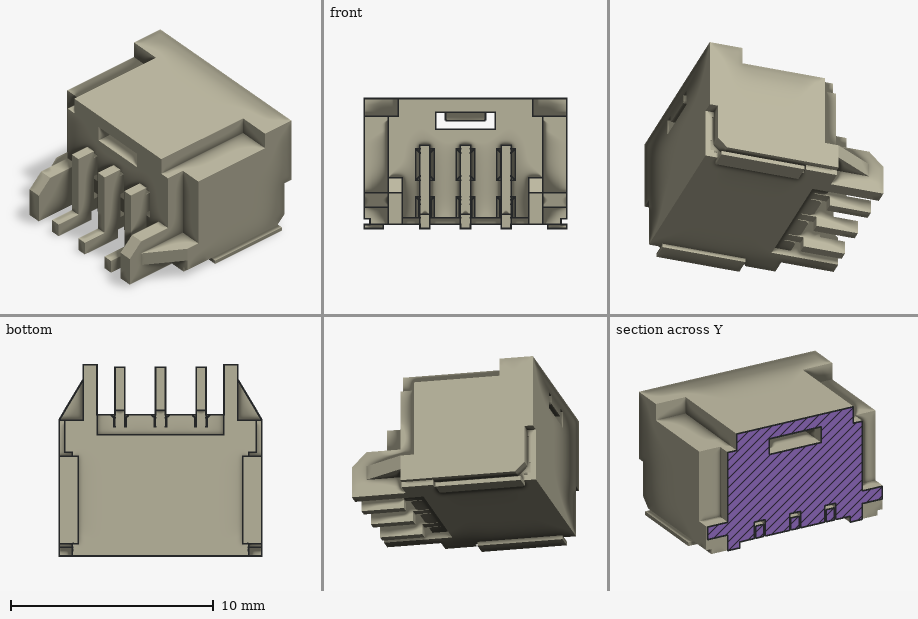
import cadquery as cq


WIDTH = 10
HALF_WIDTH = WIDTH / 2
HOUSING_LENGTH = 6.98
TOP_Z = 6.42
BOTTOM_Z = 0.2

TOP_NOTCH_WIDTH = 1.68
TOP_NOTCH_LENGTH = 5.28
TOP_NOTCH_DEPTH = 0.89

CORNER_STEP_WIDTH = 1.18
CORNER_STEP_LENGTH = 0.97
SHOULDER_Z = 1.76
SHOULDER_Y = 0.27

REAR_RELIEF_DEPTH = 0.29
FRONT_RELIEF_DEPTH = 0.65
FRONT_RELIEF_REAR_Y = 1.86
SKIN_FRONT_Y = HOUSING_LENGTH - 0.43
SKIN_BOTTOM_Z = 0.47
SKIN_FRONT_TOP_Z = 2.8
SKIN_CHAMFER_Y = 0.48
SKIN_CHAMFER_Z = 0.46

EAR_WIDTH = 0.7
EAR_OUTER_X = HALF_WIDTH - CORNER_STEP_WIDTH
EAR_INNER_X = EAR_OUTER_X - EAR_WIDTH
EAR_LENGTH = 2.46
EAR_TOP_Z = 2.5
EAR_CHAMFER_Y = 0.74
EAR_CHAMFER_Z = EAR_TOP_Z - SHOULDER_Z
GUSSET_BOTTOM_Z = 1.05
GUSSET_END_Y = EAR_CHAMFER_Y - EAR_LENGTH

UNDERSIDE_Z = 0.52
UNDERSIDE_RELIEF_LENGTH = 1.0

WINDOW_WIDTH = 2.92
WINDOW_BOTTOM_Z = 4.9
WINDOW_TOP_Z = 5.72
LATCH_WIDTH = 1.98
LATCH_BOTTOM_Z = 5.3
LATCH_LENGTH = 0.8
LATCH_UNDERCUT = 0.08
LATCH_CHAMFER = 0.07

FOOT_WIDTH = 0.95
FOOT_FRONT_Y = 6.36
FOOT_REAR_Y = 2.05
SEAT_DEPTH = 0.05
SEAT_TOP_Z = 2.5
SEAT_STEP_Z = 1.13
SEAT_LUG_BOTTOM_Z = 0.59
SEAT_UPPER_Y = 6.64
SEAT_LUG_Y = 6.72
SEAT_BEVEL = 0.12

PIN_PITCH = 2.0
PIN_COUNT = 3
PIN_WIDTH = 0.5
PIN_TOP_Z = 4.1
PIN_OUTER_Y = -1.06
PIN_GAP = 0.05
PIN_TAIL_END_Y = -2.34
PIN_TAIL_HEIGHT = 0.71
PIN_TAIL_GAP = 0.2
UPPER_LEG_BOTTOM_Z = 2.6
UPPER_LEG_TOP_Z = 3.7
LOWER_LEG_TOP_Z = 1.2
LEG_DEPTH = 0.8

POCKET_WIDTH = 0.92
UPPER_POCKET_BOTTOM_Z = 2.37
UPPER_POCKET_TOP_Z = 3.94
UPPER_POCKET_TAPER = 0.2
LOWER_POCKET_TOP_Z = 1.57
LOWER_POCKET_TAPER = 0.16
LOWER_SLOT_DEPTH = 0.6


def block(x_range, y_range, z_range):
    """Box between the given pairs of limits."""
    sizes = [limits[1] - limits[0] for limits in (x_range, y_range, z_range)]
    corner = (x_range[0], y_range[0], z_range[0])
    return cq.Workplane("XY").box(*sizes, centered=False).translate(corner)


def side_prism(points, x_start, x_end):
    """Outline of (y, z) points extruded along X."""
    return cq.Workplane("YZ").workplane(offset=x_start).polyline(points).close().extrude(x_end - x_start)


def both_sides(shape):
    """The shape together with its mirror image across the mid plane."""
    return shape.union(shape.mirror("YZ"))


def side_cuts():
    """Material removed from the right-hand side of the housing."""
    top_notch = block(
        (HALF_WIDTH - TOP_NOTCH_WIDTH, HALF_WIDTH), (0, TOP_NOTCH_LENGTH), (TOP_Z - TOP_NOTCH_DEPTH, TOP_Z)
    )
    upper_step = block((EAR_OUTER_X, HALF_WIDTH), (0, CORNER_STEP_LENGTH), (SHOULDER_Z, TOP_Z))
    lower_step = block((EAR_OUTER_X, HALF_WIDTH), (0, SHOULDER_Y), (BOTTOM_Z, SHOULDER_Z))
    rear_relief = block(
        (HALF_WIDTH - REAR_RELIEF_DEPTH, HALF_WIDTH), (0, FRONT_RELIEF_REAR_Y), (BOTTOM_Z, SKIN_BOTTOM_Z)
    )
    front_outline = [
        (FRONT_RELIEF_REAR_Y, BOTTOM_Z),
        (HOUSING_LENGTH, BOTTOM_Z),
        (HOUSING_LENGTH, SKIN_FRONT_TOP_Z),
        (SKIN_FRONT_Y, SKIN_FRONT_TOP_Z),
        (SKIN_FRONT_Y, SKIN_BOTTOM_Z + SKIN_CHAMFER_Z),
        (SKIN_FRONT_Y - SKIN_CHAMFER_Y, SKIN_BOTTOM_Z),
        (FRONT_RELIEF_REAR_Y, SKIN_BOTTOM_Z),
    ]
    wall_x = HALF_WIDTH - FRONT_RELIEF_DEPTH
    front_relief = side_prism(front_outline, wall_x, HALF_WIDTH)
    seat_outline = [
        (FOOT_REAR_Y, BOTTOM_Z),
        (FOOT_FRONT_Y, BOTTOM_Z),
        (FOOT_FRONT_Y, SEAT_LUG_BOTTOM_Z),
        (SEAT_LUG_Y, SEAT_LUG_BOTTOM_Z),
        (SEAT_LUG_Y, SEAT_STEP_Z),
        (SEAT_UPPER_Y, SEAT_STEP_Z),
        (SEAT_UPPER_Y, SEAT_TOP_Z),
        (SKIN_FRONT_Y, SEAT_TOP_Z),
        (SKIN_FRONT_Y, SKIN_BOTTOM_Z + SKIN_CHAMFER_Z),
        (SKIN_FRONT_Y - SKIN_CHAMFER_Y, SKIN_BOTTOM_Z),
        (FOOT_REAR_Y, SKIN_BOTTOM_Z),
    ]
    seat = side_prism(seat_outline, wall_x - SEAT_DEPTH, wall_x)
    bevel = (
        cq.Workplane("XZ", origin=(0, SKIN_FRONT_Y, 0))
        .polyline(
            [
                (wall_x, SEAT_LUG_BOTTOM_Z),
                (wall_x, SEAT_LUG_BOTTOM_Z - SEAT_BEVEL),
                (wall_x - SEAT_BEVEL, SEAT_LUG_BOTTOM_Z - SEAT_BEVEL),
            ]
        )
        .close()
        .extrude(SKIN_FRONT_Y - FOOT_FRONT_Y)
    )
    cuts = top_notch
    for cut in (upper_step, lower_step, rear_relief, front_relief, seat, bevel):
        cuts = cuts.union(cut)
    return cuts


def ear():
    """Right-hand rear ear with a chamfered top corner and its triangular gusset."""
    outline = [
        (0, BOTTOM_Z),
        (-EAR_LENGTH, BOTTOM_Z),
        (-EAR_LENGTH, EAR_TOP_Z - EAR_CHAMFER_Z),
        (EAR_CHAMFER_Y - EAR_LENGTH, EAR_TOP_Z),
        (CORNER_STEP_LENGTH, EAR_TOP_Z),
        (CORNER_STEP_LENGTH, BOTTOM_Z),
    ]
    plate = side_prism(outline, EAR_INNER_X, EAR_OUTER_X)
    gusset = (
        cq.Workplane("XY")
        .workplane(offset=GUSSET_BOTTOM_Z)
        .polyline([(EAR_OUTER_X, SHOULDER_Y), (HALF_WIDTH, SHOULDER_Y), (EAR_OUTER_X, GUSSET_END_Y)])
        .close()
        .extrude(SHOULDER_Z - GUSSET_BOTTOM_Z)
    )
    return plate.union(gusset)


def foot():
    """Right-hand solder foot, flush with the outer side."""
    return block((HALF_WIDTH - FOOT_WIDTH, HALF_WIDTH), (FOOT_REAR_Y, FOOT_FRONT_Y), (0, BOTTOM_Z))


def latch():
    """Latch hanging from the window roof, with an undercut rear face and chamfered lower corners."""
    tip_y = HOUSING_LENGTH - LATCH_LENGTH
    outline = [
        (tip_y, LATCH_BOTTOM_Z),
        (HOUSING_LENGTH, LATCH_BOTTOM_Z),
        (HOUSING_LENGTH, WINDOW_TOP_Z),
        (tip_y + LATCH_UNDERCUT, WINDOW_TOP_Z),
    ]
    body = side_prism(outline, -LATCH_WIDTH / 2, LATCH_WIDTH / 2)
    return body.intersect(
        block((-LATCH_WIDTH / 2, LATCH_WIDTH / 2), (tip_y, HOUSING_LENGTH), (LATCH_BOTTOM_Z, WINDOW_TOP_Z))
        .edges("|Y and <Z")
        .chamfer(LATCH_CHAMFER)
    )


def pocket(bottom_z, top_z, bottom_taper, taper):
    """Pocket in the rear face, as deep as its taper; the bottom has a taper of its own."""
    inner_bottom_z = bottom_z + bottom_taper
    inner_top_z = top_z - taper
    inner_middle_z = (inner_bottom_z + inner_top_z) / 2
    outer_middle_z = (bottom_z + top_z) / 2
    return (
        cq.Workplane("XZ")
        .center(0, outer_middle_z)
        .rect(POCKET_WIDTH, top_z - bottom_z)
        .workplane(offset=-taper)
        .center(0, inner_middle_z - outer_middle_z)
        .rect(POCKET_WIDTH - 2 * taper, inner_top_z - inner_bottom_z)
        .loft(ruled=True)
    )


def pin():
    """Bent contact: upright bar, tail on the board and two legs anchored in the housing."""
    outline = [
        (-PIN_GAP, PIN_TOP_Z),
        (PIN_OUTER_Y, PIN_TOP_Z),
        (PIN_OUTER_Y, PIN_TAIL_HEIGHT),
        (PIN_TAIL_END_Y, PIN_TAIL_HEIGHT),
        (PIN_TAIL_END_Y, 0),
        (-PIN_TAIL_GAP, 0),
        (-PIN_TAIL_GAP, UNDERSIDE_Z),
        (LEG_DEPTH, UNDERSIDE_Z),
        (LEG_DEPTH, LOWER_LEG_TOP_Z),
        (-PIN_GAP, LOWER_LEG_TOP_Z),
        (-PIN_GAP, UPPER_LEG_BOTTOM_Z),
        (LEG_DEPTH, UPPER_LEG_BOTTOM_Z),
        (LEG_DEPTH, UPPER_LEG_TOP_Z),
        (-PIN_GAP, UPPER_LEG_TOP_Z),
    ]
    return side_prism(outline, -PIN_WIDTH / 2, PIN_WIDTH / 2)


result = block((-HALF_WIDTH, HALF_WIDTH), (0, HOUSING_LENGTH), (BOTTOM_Z, TOP_Z))
result = result.cut(both_sides(side_cuts()))
result = result.cut(
    block((-WINDOW_WIDTH / 2, WINDOW_WIDTH / 2), (0, HOUSING_LENGTH), (WINDOW_BOTTOM_Z, WINDOW_TOP_Z))
)
result = result.union(latch())
result = result.cut(
    block((-EAR_INNER_X, EAR_INNER_X), (0, UNDERSIDE_RELIEF_LENGTH), (BOTTOM_Z, UNDERSIDE_Z))
)
for side_part in (ear(), foot()):
    result = result.union(side_part).union(side_part.mirror("YZ"))

upper_pocket = pocket(UPPER_POCKET_BOTTOM_Z, UPPER_POCKET_TOP_Z, UPPER_POCKET_TAPER, UPPER_POCKET_TAPER)
lower_pocket = pocket(UNDERSIDE_Z, LOWER_POCKET_TOP_Z, 0, LOWER_POCKET_TAPER)
slot_half_width = POCKET_WIDTH / 2 - LOWER_POCKET_TAPER
lower_slot = block(
    (-slot_half_width, slot_half_width),
    (LOWER_POCKET_TAPER, LOWER_SLOT_DEPTH),
    (UNDERSIDE_Z, LOWER_POCKET_TOP_Z - LOWER_POCKET_TAPER),
)
for index in range(PIN_COUNT):
    pin_position = ((index - (PIN_COUNT - 1) / 2) * PIN_PITCH, 0, 0)
    result = result.cut(upper_pocket.translate(pin_position))
    result = result.cut(lower_pocket.translate(pin_position))
    result = result.cut(lower_slot.translate(pin_position))
    result = result.union(pin().translate(pin_position))